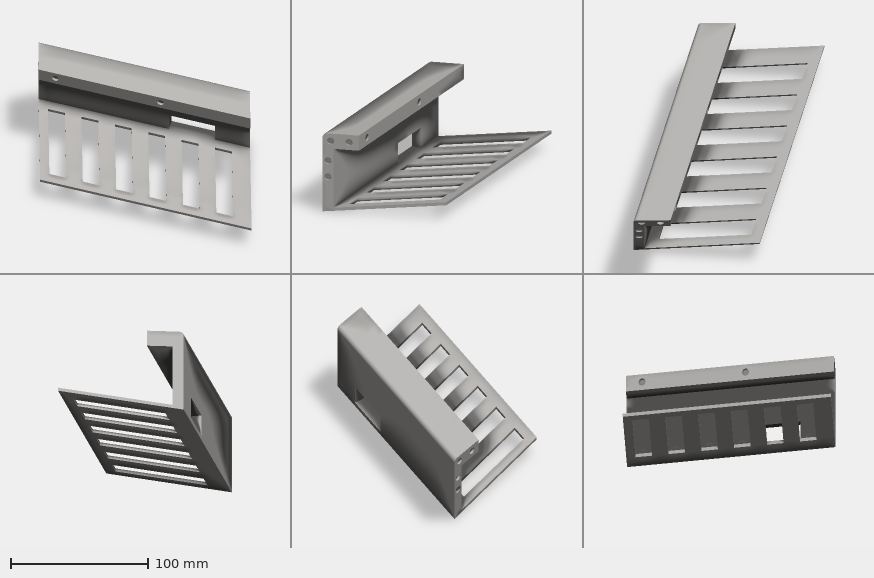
import cadquery as cq
import math

total_length = 188.2
total_depth = 88.0
total_height = 61.5
end_shift = 27.3
body_length = total_length - end_shift
end_slope = end_shift / total_depth
end_angle = math.atan(end_slope)

wall_thickness = 7.7
rail_depth = 25.8
rail_height = 11.9
back_edge_radius = 3.0
tray_rise = 11.9
tray_thickness = 2.5
tray_slope = tray_rise / total_depth
tray_crease_height = tray_thickness + tray_slope * wall_thickness

slot_count = 6
slot_pitch = 25.5
slot_width = 12.8
first_slot_offset = 7.2
slot_margin = 8.0
slot_back = wall_thickness + slot_margin
slot_front = total_depth - slot_margin

window_left = 101.5
window_right = 136.9
window_top = 19.5

hole_diameter = 5.3
hole_depth = 2.0
front_hole_positions = [20.5, 100.5]
rail_hole_height = total_height - 5.8
end_holes = [
    (5.6, rail_hole_height),
    (18.8, rail_hole_height),
    (wall_thickness / 2, total_height - 21.5),
    (wall_thickness / 2, total_height - 34.0),
]


def slanted_block(offset, length, back, front):
    """Full-height block with ends parallel to the slanted ends of the part."""
    back_x = offset + end_slope * back
    front_x = offset + end_slope * front
    outline = [
        (back_x, -back),
        (back_x + length, -back),
        (front_x + length, -front),
        (front_x, -front),
    ]
    return cq.Workplane("XY").polyline(outline).close().extrude(total_height)


def blind_hole(center, direction):
    """Cylinder that starts on a face at center and goes into the part."""
    return cq.Workplane(
        cq.Solid.makeCylinder(hole_diameter / 2, hole_depth, cq.Vector(*center), cq.Vector(*direction))
    )


section = [
    (0, 0),
    (-total_depth, tray_rise),
    (-total_depth, tray_rise + tray_thickness),
    (-wall_thickness, tray_crease_height),
    (-wall_thickness, total_height - rail_height),
    (-rail_depth, total_height - rail_height),
    (-rail_depth, total_height),
    (0, total_height),
]
profile = cq.Workplane("YZ").polyline(section).close().extrude(total_length)
profile = profile.edges(">Y and >Z").fillet(back_edge_radius)
result = profile.intersect(slanted_block(0, body_length, 0, total_depth))

slot_ceiling = total_height - rail_height
slot_space = cq.Workplane("XY").box(
    total_length, total_depth, slot_ceiling, centered=False
).translate((0, -total_depth, 0))
for index in range(slot_count):
    slot = slanted_block(first_slot_offset + index * slot_pitch, slot_width, slot_back, slot_front)
    result = result.cut(slot.intersect(slot_space))

window = cq.Workplane("XY").box(
    window_right - window_left,
    wall_thickness,
    window_top - tray_crease_height,
    centered=False,
).translate((window_left, -wall_thickness, tray_crease_height))
result = result.cut(window)

for x in front_hole_positions:
    result = result.cut(blind_hole((x, -rail_depth, rail_hole_height), (0, 1, 0)))

inward = (math.cos(end_angle), math.sin(end_angle), 0)
for distance, height in end_holes:
    result = result.cut(blind_hole((end_slope * distance, -distance, height), inward))